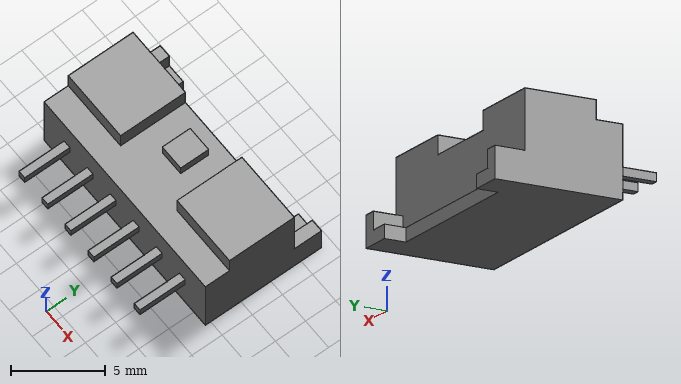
import cadquery as cq


width = 14.0
housing_depth = 5.9
housing_height = 4.2

pad_width = 4.55
pad_height = 1.1
pad_setback = 1.6

tab_width = 1.6
tab_depth = 1.85
tab_height = 0.6
tab_setback = 3.1

total_depth = 7.7
floor_depth = 6.4
floor_thickness = 0.8
foot_width = 2.0
rail_width = 0.8
rail_height = 1.85

pin_count = 6
pin_pitch = 2.0
pin_size = 0.5
pin_length = 3.0
pin_center_z = 2.2


def block(x_min, y_min, z_min, x_size, y_size, z_size):
    """Box placed by its lowest corner."""
    return cq.Workplane("XY").box(x_size, y_size, z_size, centered=False).translate((x_min, y_min, z_min))


def end_positions(feature_width):
    """Lowest X of a feature of this width flush with each end of the part."""
    return (-width / 2, width / 2 - feature_width)


def make_housing():
    housing = block(-width / 2, 0, 0, width, housing_depth, housing_height)
    for x_min in end_positions(pad_width):
        pad_depth = housing_depth - pad_setback
        pad = block(x_min, pad_setback, housing_height, pad_width, pad_depth, pad_height)
        housing = housing.union(pad)
    tab = block(-tab_width / 2, tab_setback, housing_height, tab_width, tab_depth, tab_height)
    return housing.union(tab)


def make_mating_end():
    """Thin floor lip with a foot at each end, each foot edged by a taller rail."""
    lip = block(-width / 2, housing_depth, 0, width, floor_depth - housing_depth, floor_thickness)
    reach = total_depth - housing_depth
    for x_min in end_positions(foot_width):
        lip = lip.union(block(x_min, housing_depth, 0, foot_width, reach, floor_thickness))
    for x_min in end_positions(rail_width):
        lip = lip.union(block(x_min, housing_depth, 0, rail_width, reach, rail_height))
    return lip


def make_pin(center_x):
    return block(center_x - pin_size / 2, -pin_length, pin_center_z - pin_size / 2, pin_size, pin_length, pin_size)


result = make_housing().union(make_mating_end())
for index in range(pin_count):
    pin_x = (index - (pin_count - 1) / 2) * pin_pitch
    result = result.union(make_pin(pin_x))